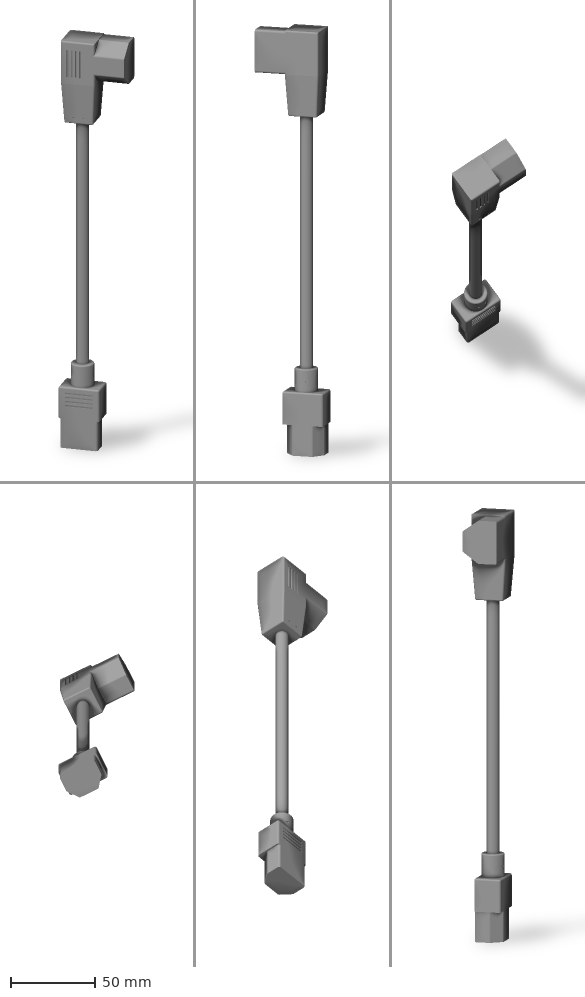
import cadquery as cq

TOTAL_HEIGHT = 257.2

CABLE_RADIUS = 3.9

ANGLED_WIDTH = 20.8
ANGLED_DEPTH = 21.0
HEAD_HEIGHT = 26.5
HEAD_ROUND = 1.0
NECK_HEIGHT = 25.5
NECK_END_WIDTH = 17.7
NECK_END_DEPTH = 17.2
NECK_ROUND = 1.0
NECK_END_ROUND = 0.8
SOCKET_END_X = 28.8
SOCKET_TOP_INSET = 0.5
SOCKET_BEVEL_Y = 9.8
SOCKET_BEVEL_Z = 7.0
SOCKET_ROUND = 1.3

HOUSING_WIDTH = 25.2
STRAIGHT_DEPTH = 16.5
NOSE_HEIGHT = 18.5
NOSE_WIDTH = 23.1
NOSE_BEVEL_X = 5.5
NOSE_BEVEL_Y = 7.0
HOUSING_HEIGHT = 19.8
STRAIGHT_ROUND = 1.3
HOUSING_TOP_ROUND = 1.0
COLLAR_RADIUS = 7.0
COLLAR_HEIGHT = 14.0
COLLAR_ROUND = 0.8

GRIP_COUNT = 4
GRIP_PITCH = 2.5
GRIP_WIDTH = 1.0
GRIP_DEPTH = 0.8
GRIP_LENGTH = 17.0
ANGLED_GRIP_X = -2.3
ANGLED_GRIP_DROP = 14.0
STRAIGHT_GRIP_DROP = 7.7

WINDOW_WIDTH = 1.8
WINDOW_HEIGHT = 0.8
WINDOW_DEPTH = 0.8
NECK_WINDOW_PITCH = 6.2
NECK_WINDOW_RISE = 3.9
COLLAR_WINDOW_PITCH = 5.0
COLLAR_WINDOW_RISE = 6.5

HEAD_BOTTOM = TOTAL_HEIGHT - HEAD_HEIGHT
CABLE_TOP = HEAD_BOTTOM - NECK_HEIGHT
HOUSING_TOP = NOSE_HEIGHT + HOUSING_HEIGHT
CABLE_BOTTOM = HOUSING_TOP + COLLAR_HEIGHT
ANGLED_FRONT = -ANGLED_DEPTH / 2
STRAIGHT_FRONT = -STRAIGHT_DEPTH / 2


def block(width, depth, bottom, top):
    """A box centred on the Z axis between two levels."""
    return cq.Workplane("XY", origin=(0, 0, bottom)).rect(width, depth).extrude(top - bottom)


def centered_offsets(count, pitch):
    """Evenly spaced positions around zero."""
    return [(i - (count - 1) / 2) * pitch for i in range(count)]


def recess(x, y, z, width, height, depth):
    """A box that cuts to the given depth into a face that lies at y."""
    return cq.Workplane("XY", origin=(x, y, z)).box(width, 2 * depth, height)


def make_cable():
    start = cq.Workplane("XY", origin=(0, 0, CABLE_BOTTOM))
    return start.circle(CABLE_RADIUS).extrude(CABLE_TOP - CABLE_BOTTOM)


def make_head():
    head = block(ANGLED_WIDTH, ANGLED_DEPTH, HEAD_BOTTOM, TOTAL_HEIGHT)
    return head.faces("<Y or >Y").edges("|Z or >Z").fillet(HEAD_ROUND)


def make_socket():
    """A six-sided bar along X with two bevelled corners at the front."""
    start = ANGLED_WIDTH / 2 - HEAD_ROUND
    bottom = HEAD_BOTTOM
    top = TOTAL_HEIGHT - SOCKET_TOP_INSET
    back = -ANGLED_FRONT
    outline = [
        (back, bottom),
        (ANGLED_FRONT + SOCKET_BEVEL_Y, bottom),
        (ANGLED_FRONT, bottom + SOCKET_BEVEL_Z),
        (ANGLED_FRONT, top - SOCKET_BEVEL_Z),
        (ANGLED_FRONT + SOCKET_BEVEL_Y, top),
        (back, top),
    ]
    socket = cq.Workplane("YZ", origin=(start, 0, 0)).polyline(outline).close().extrude(SOCKET_END_X - start)
    return socket.edges("|X").fillet(SOCKET_ROUND)


def make_neck():
    neck = (
        cq.Workplane("XY", origin=(0, 0, HEAD_BOTTOM))
        .rect(ANGLED_WIDTH, ANGLED_DEPTH)
        .workplane(offset=-NECK_HEIGHT)
        .rect(NECK_END_WIDTH, NECK_END_DEPTH)
        .loft(ruled=True)
    )
    return neck.edges("not #Z").fillet(NECK_ROUND).faces("<Z").edges().fillet(NECK_END_ROUND)


def make_angled_plug():
    plug = make_head().union(make_socket()).union(make_neck())
    grip_z = TOTAL_HEIGHT - ANGLED_GRIP_DROP
    for offset in centered_offsets(GRIP_COUNT, GRIP_PITCH):
        plug = plug.cut(
            recess(ANGLED_GRIP_X + offset, ANGLED_FRONT, grip_z, GRIP_WIDTH, GRIP_LENGTH, GRIP_DEPTH)
        )
    slope = (ANGLED_DEPTH - NECK_END_DEPTH) / 2 / NECK_HEIGHT
    face_y = -NECK_END_DEPTH / 2 - slope * NECK_WINDOW_RISE
    window_z = CABLE_TOP + NECK_WINDOW_RISE
    for x in centered_offsets(2, NECK_WINDOW_PITCH):
        plug = plug.cut(recess(x, face_y, window_z, WINDOW_WIDTH, WINDOW_HEIGHT, WINDOW_DEPTH))
    return plug


def make_nose():
    """A six-sided bar along Z with two bevelled corners at the back."""
    side = NOSE_WIDTH / 2
    back = -STRAIGHT_FRONT
    outline = [
        (-side, STRAIGHT_FRONT),
        (side, STRAIGHT_FRONT),
        (side, back - NOSE_BEVEL_Y),
        (side - NOSE_BEVEL_X, back),
        (-side + NOSE_BEVEL_X, back),
        (-side, back - NOSE_BEVEL_Y),
    ]
    nose = cq.Workplane("XY").polyline(outline).close().extrude(NOSE_HEIGHT)
    return nose.edges("|Z").fillet(STRAIGHT_ROUND)


def make_housing():
    housing = block(HOUSING_WIDTH, STRAIGHT_DEPTH, NOSE_HEIGHT, HOUSING_TOP)
    return housing.edges("|Z").fillet(STRAIGHT_ROUND).faces(">Z").edges().fillet(HOUSING_TOP_ROUND)


def make_collar():
    collar = cq.Workplane("XY", origin=(0, 0, HOUSING_TOP)).circle(COLLAR_RADIUS).extrude(COLLAR_HEIGHT)
    return collar.faces(">Z").edges().fillet(COLLAR_ROUND)


def make_straight_plug():
    plug = make_housing().union(make_nose()).union(make_collar())
    for offset in centered_offsets(GRIP_COUNT, GRIP_PITCH):
        z = HOUSING_TOP - STRAIGHT_GRIP_DROP + offset
        plug = plug.cut(recess(0, STRAIGHT_FRONT, z, GRIP_LENGTH, GRIP_WIDTH, GRIP_DEPTH))
    window_z = HOUSING_TOP + COLLAR_WINDOW_RISE
    for x in centered_offsets(2, COLLAR_WINDOW_PITCH):
        for y in (-COLLAR_RADIUS, COLLAR_RADIUS):
            plug = plug.cut(recess(x, y, window_z, WINDOW_WIDTH, WINDOW_HEIGHT, WINDOW_DEPTH))
    return plug


cable = make_cable()
angled_plug = make_angled_plug()
straight_plug = make_straight_plug()

result = cq.Compound.makeCompound([cable.val(), angled_plug.val(), straight_plug.val()])